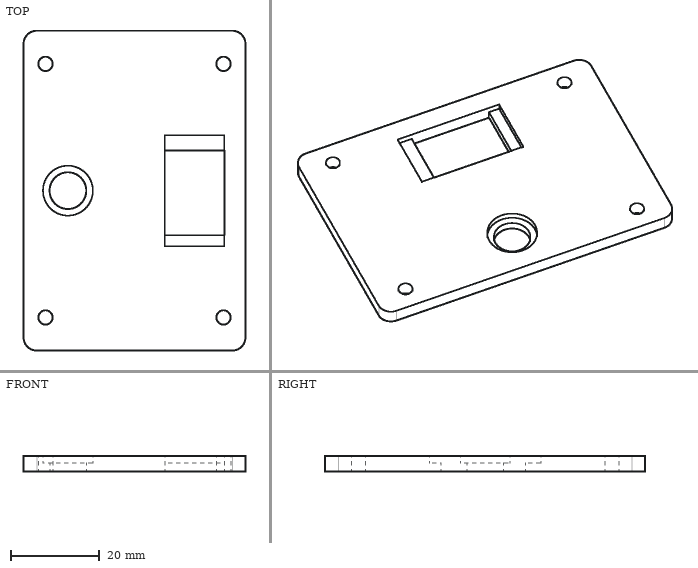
import cadquery as cq

width = 50.0
length = 72
thickness = 3.5
corner_radius = 3.0

mount_diameter = 3.2
mount_spacing_x = 40.0
mount_spacing_y = 57.0

round_x = -15.0
bore_diameter = 8.2
counterbore_diameter = 11.2
counterbore_depth = 1.5

window_x = 13.5
window_width = 13.4
recess_length = 25.0
ledge_depth = 1.5
opening_y_max = 9.0
opening_y_min = -10.0


def make_plate():
    """Flat plate with rounded corners, its underside at Z = 0."""
    plate = cq.Workplane("XY").box(width, length, thickness, centered=(True, True, False))
    return plate.edges("|Z").fillet(corner_radius)


def cut_mounting_holes(plate):
    """One through hole near each corner."""
    return (
        plate.faces(">Z").workplane(origin=(0, 0, thickness))
        .rarray(mount_spacing_x, mount_spacing_y, 2, 2)
        .hole(mount_diameter)
    )


def cut_round_hole(plate):
    """Through hole counterbored from the top face."""
    return (
        plate.faces(">Z").workplane(origin=(0, 0, thickness))
        .center(round_x, 0)
        .cboreHole(bore_diameter, counterbore_diameter, counterbore_depth)
    )


def cut_window(plate):
    """Through opening inside a longer recess, leaving a ledge at each end."""
    opening_length = opening_y_max - opening_y_min
    opening_y = (opening_y_max + opening_y_min) / 2
    top = cq.Workplane("XY", origin=(window_x, 0, thickness))
    recess = top.rect(window_width, recess_length).extrude(-ledge_depth)
    opening = top.center(0, opening_y).rect(window_width, opening_length).extrude(-thickness)
    return plate.cut(recess).cut(opening)


result = cut_window(cut_round_hole(cut_mounting_holes(make_plate())))